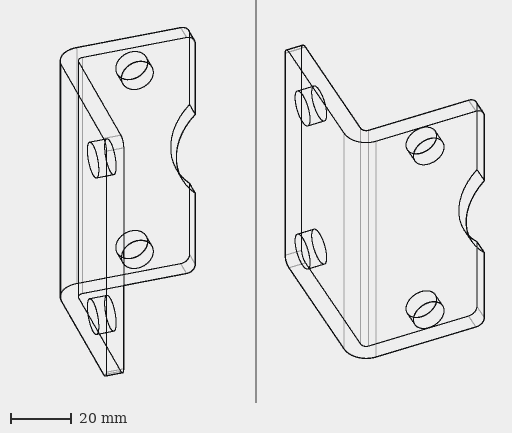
import cadquery as cq

width = 55.0
depth = 47.0
height = 95.0
thickness = 6.0
outer_bend_radius = 8.0
inner_bend_radius = outer_bend_radius - thickness
corner_radius = 3.0

front_hole_diameter = 12.0
front_hole_x = 41.0
front_hole_spacing = 63.0

side_hole_diameter = 11.0
side_hole_y = 27.0
side_hole_spacing = 72.0

notch_radius = 22.4
notch_depth = 6.6
notch_center_y = depth - notch_depth + notch_radius


def bent_plate():
    """L-shaped plate with a rounded bend and rounded free corners."""
    profile = (
        cq.Workplane("XY")
        .workplane(offset=-height / 2)
        .polyline([
            (0, 0),
            (width, 0),
            (width, thickness),
            (thickness, thickness),
            (thickness, depth),
            (0, depth),
        ])
        .close()
    )
    plate = profile.extrude(height)
    plate = plate.edges(cq.NearestToPointSelector((0, 0, 0))).fillet(outer_bend_radius)
    inner_corner = cq.NearestToPointSelector((thickness, thickness, 0))
    plate = plate.edges(inner_corner).fillet(inner_bend_radius)
    plate = plate.faces(">X").edges("|Y").fillet(corner_radius)
    return plate.faces(">Y").edges("|X").fillet(corner_radius)


def front_holes():
    """Cutters through the front flange."""
    return (
        cq.Workplane("XZ", origin=(front_hole_x, 0, 0))
        .rarray(0.95, front_hole_spacing, 1, 2)
        .circle(front_hole_diameter / 2)
        .extrude(-thickness)
    )


def side_holes():
    """Cutters through the side flange."""
    return (
        cq.Workplane("YZ", origin=(0, side_hole_y, 0))
        .rarray(0.95, side_hole_spacing, 1, 2)
        .circle(side_hole_diameter / 2)
        .extrude(thickness)
    )


def edge_notch():
    """Cutter for the shallow arc in the side flange's free edge."""
    return (
        cq.Workplane("YZ", origin=(0, notch_center_y, 0))
        .circle(notch_radius)
        .extrude(thickness)
    )


result = bent_plate().cut(front_holes()).cut(side_holes()).cut(edge_notch())